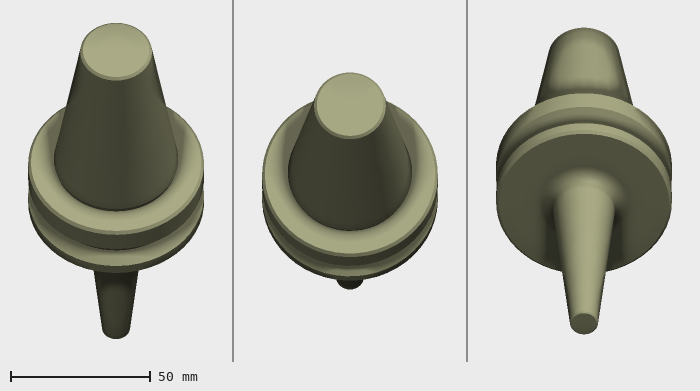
import cadquery as cq
import math

total_length = 167.4

gauge_radius = 22.3
taper_length = 65.5
taper_ratio = 7 / 24
taper_end_radius = gauge_radius - taper_length * taper_ratio / 2
taper_end_chamfer = 0.8

neck_radius = 21.8
neck_chamfer_height = 1.0
neck_length = 2.0

flange_radius = 31.5
flange_thickness = 25.0
flange_chamfer = 1.0
groove_radius = 26.6
groove_offset = 9.5
groove_flank_height = 2.8
groove_floor_height = 4.5

nose_root_radius = 11.0
nose_tip_radius = 5.0
nose_tip_chamfer = 0.5
root_fillet = 5.0

flange_top = -neck_length
flange_bottom = flange_top - flange_thickness
groove_top = flange_top - groove_offset
floor_top = groove_top - groove_flank_height
floor_bottom = floor_top - groove_floor_height
groove_bottom = floor_bottom - groove_flank_height
tip_level = taper_length - total_length

nose_angle = math.atan2(nose_root_radius - nose_tip_radius, flange_bottom - root_fillet - tip_level)
fillet_center_radius = nose_root_radius + root_fillet * math.cos(nose_angle)
fillet_center_level = flange_bottom - root_fillet


def fillet_point(angle):
    """Point on the root fillet, angle measured from the inward radial direction."""
    return (
        fillet_center_radius - root_fillet * math.cos(angle),
        fillet_center_level + root_fillet * math.sin(angle),
    )


fillet_middle = fillet_point((nose_angle + math.pi / 2) / 2)
fillet_end = fillet_point(nose_angle)

profile = (
    cq.Workplane("XZ")
    .moveTo(0, taper_length)
    .lineTo(taper_end_radius - taper_end_chamfer, taper_length)
    .lineTo(taper_end_radius + taper_end_chamfer * taper_ratio / 2, taper_length - taper_end_chamfer)
    .lineTo(gauge_radius, 0)
    .lineTo(neck_radius, -neck_chamfer_height)
    .lineTo(neck_radius, flange_top)
    .lineTo(flange_radius - flange_chamfer, flange_top)
    .lineTo(flange_radius, flange_top - flange_chamfer)
    .lineTo(flange_radius, groove_top)
    .lineTo(groove_radius, floor_top)
    .lineTo(groove_radius, floor_bottom)
    .lineTo(flange_radius, groove_bottom)
    .lineTo(flange_radius, flange_bottom + flange_chamfer)
    .lineTo(flange_radius - flange_chamfer, flange_bottom)
    .lineTo(fillet_center_radius, flange_bottom)
    .threePointArc(fillet_middle, fillet_end)
    .lineTo(nose_tip_radius, tip_level + nose_tip_chamfer)
    .lineTo(nose_tip_radius - nose_tip_chamfer, tip_level)
    .lineTo(0, tip_level)
    .close()
)

result = profile.revolve(360, (0, 0, 0), (0, 1, 0))